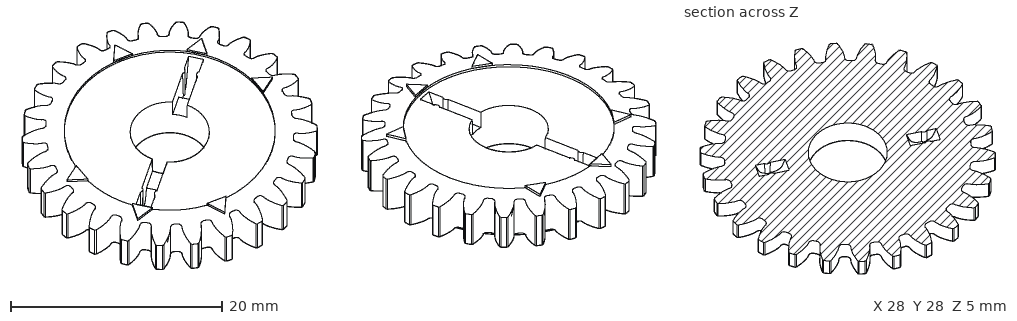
import cadquery as cq
import math

TOOTH_COUNT = 26
MODULE = 1.0
PRESSURE_ANGLE = math.radians(20)
FIRST_TOOTH_ANGLE = 87.23
ROOT_FILLET = 0.38 * MODULE
TIP_BREAK = 0.08
PITCH_ANGLE = 360 / TOOTH_COUNT
PITCH_RADIUS = MODULE * TOOTH_COUNT / 2
BASE_RADIUS = PITCH_RADIUS * math.cos(PRESSURE_ANGLE)
TIP_RADIUS = PITCH_RADIUS + MODULE
ROOT_RADIUS = PITCH_RADIUS - 1.25 * MODULE
FLANK_END_RADIUS = TIP_RADIUS - TIP_BREAK
FLANK_POINTS = 6

HUB_HEIGHT = 0.75
GEAR_WIDTH = 4.0
GEAR_TOP = HUB_HEIGHT + GEAR_WIDTH
PARTING_HEIGHT = HUB_HEIGHT + GEAR_WIDTH / 2
TIP_BEVEL_DROP = 0.5

HUB_RADIUS = 11.0
RECESS_RADIUS = 10.0
RECESS_DEPTH = 0.25
RECESS_FLOOR = GEAR_TOP - RECESS_DEPTH

DRAFT = 1.0
DRAFT_SLOPE = math.tan(math.radians(DRAFT))
BORE_TOP_RADIUS = 3.75
BORE_THROAT_RADIUS = BORE_TOP_RADIUS - (RECESS_FLOOR - PARTING_HEIGHT) * DRAFT_SLOPE
BORE_BOTTOM_RADIUS = BORE_THROAT_RADIUS + PARTING_HEIGHT * DRAFT_SLOPE

SLOT_WIDTH = 1.46
SLOT_END = 9.6
SLOT_FLOOR = PARTING_HEIGHT
POCKET_START = 5.88
POCKET_FLOOR = 1.15
POCKET_FLOOR_START = 7.16
POCKET_WALL_ANGLE = math.radians(20)
POCKET_OUTER_RADIUS = 0.95
POCKET_INNER_RADIUS = 0.99
NUB_RADIUS = 0.4
NUB_PROTRUSION = 0.15
NUB_POSITION = 7.7

MARK_SIDE = 2.0
MARK_HEIGHT = 0.25
MARK_TOOTH_STEP = 3


def polar(radius, angle):
    return (radius * math.cos(angle), radius * math.sin(angle))


def involute(radius):
    """Polar angle swept by the involute from its base circle at the given radius."""
    pressure = math.acos(BASE_RADIUS / radius)
    return math.tan(pressure) - pressure


def tooth_half_angle(radius):
    pitch_half_angle = math.pi / (2 * TOOTH_COUNT)
    return pitch_half_angle + involute(PITCH_RADIUS) - involute(radius)


def make_tooth():
    """One tooth on the +X axis, with flared fillets running into the root circle."""
    step = (FLANK_END_RADIUS - BASE_RADIUS) / (FLANK_POINTS - 1)
    radii = [BASE_RADIUS + step * index for index in range(FLANK_POINTS)]
    lower = [polar(r, -tooth_half_angle(r)) for r in radii]
    upper = [(x, -y) for x, y in reversed(lower)]

    tip_half = tooth_half_angle(TIP_RADIUS) - TIP_BREAK / TIP_RADIUS
    tip_corner = polar(TIP_RADIUS, tip_half)

    base_half = tooth_half_angle(BASE_RADIUS)
    centre_radius = ROOT_RADIUS + ROOT_FILLET
    centre_half = base_half + math.asin(ROOT_FILLET / centre_radius)
    flank_radius = math.sqrt(centre_radius**2 - ROOT_FILLET**2)
    centre = polar(centre_radius, centre_half)
    on_flank = polar(flank_radius, base_half)
    on_root = polar(ROOT_RADIUS, centre_half)
    toward = (on_flank[0] + on_root[0] - 2 * centre[0], on_flank[1] + on_root[1] - 2 * centre[1])
    reach = ROOT_FILLET / math.hypot(*toward)
    middle = (centre[0] + toward[0] * reach, centre[1] + toward[1] * reach)

    def mirrored(point):
        return (point[0], -point[1])

    return (
        cq.Workplane("XY", origin=(0, 0, HUB_HEIGHT))
        .moveTo(HUB_RADIUS, -on_root[1])
        .lineTo(*mirrored(on_root))
        .threePointArc(mirrored(middle), mirrored(on_flank))
        .lineTo(*lower[0])
        .spline(lower[1:], includeCurrent=True)
        .lineTo(*mirrored(tip_corner))
        .threePointArc((TIP_RADIUS, 0), tip_corner)
        .lineTo(*upper[0])
        .spline(upper[1:], includeCurrent=True)
        .lineTo(*on_flank)
        .threePointArc(middle, on_root)
        .lineTo(HUB_RADIUS, on_root[1])
        .close()
        .extrude(GEAR_WIDTH)
    )


def make_gear():
    """Root cylinder with all teeth, trimmed by a cone so the tooth tops fall outward."""
    gear = cq.Workplane("XY", origin=(0, 0, HUB_HEIGHT)).circle(ROOT_RADIUS).extrude(GEAR_WIDTH)
    tooth = make_tooth()
    for index in range(TOOTH_COUNT):
        angle = FIRST_TOOTH_ANGLE + index * PITCH_ANGLE
        gear = gear.union(tooth.rotate((0, 0, 0), (0, 0, 1), angle))
    envelope = (
        cq.Workplane("XZ")
        .polyline([
            (0, 0),
            (TIP_RADIUS, 0),
            (TIP_RADIUS, GEAR_TOP - TIP_BEVEL_DROP),
            (ROOT_RADIUS, GEAR_TOP),
            (0, GEAR_TOP),
        ])
        .close()
        .revolve(360, (0, 0), (0, 1))
    )
    return gear.intersect(envelope)


def make_bore():
    return (
        cq.Workplane("XZ")
        .polyline([
            (0, 0),
            (BORE_BOTTOM_RADIUS, 0),
            (BORE_THROAT_RADIUS, PARTING_HEIGHT),
            (BORE_TOP_RADIUS, RECESS_FLOOR),
            (0, RECESS_FLOOR),
        ])
        .close()
        .revolve(360, (0, 0), (0, 1))
    )


def arc_point(start, radius, turn):
    """Point on an upward-curving arc that leaves the pocket floor at start, after the given turn."""
    return (start + radius * math.sin(turn), POCKET_FLOOR + radius * (1 - math.cos(turn)))


def make_slot():
    """Cutter for the slot on the +Y side: a side profile narrowed by drafted walls and nubs."""
    wall_foot = SLOT_END - (RECESS_FLOOR - POCKET_FLOOR) * math.tan(POCKET_WALL_ANGLE)
    wall_turn = math.pi / 2 - POCKET_WALL_ANGLE
    floor_end = wall_foot - POCKET_OUTER_RADIUS * math.tan(wall_turn / 2)

    def on_outer_curve(turn):
        return arc_point(floor_end, POCKET_OUTER_RADIUS, turn)

    def on_inner_curve(turn):
        return arc_point(POCKET_FLOOR_START, POCKET_INNER_RADIUS, -turn)

    profile = (
        cq.Workplane("YZ", origin=(-SLOT_WIDTH / 2, 0, 0))
        .moveTo(0, RECESS_FLOOR)
        .lineTo(0, SLOT_FLOOR)
        .lineTo(POCKET_START, SLOT_FLOOR)
        .lineTo(*on_inner_curve(wall_turn))
        .threePointArc(on_inner_curve(wall_turn / 2), on_inner_curve(0))
        .lineTo(*on_outer_curve(0))
        .threePointArc(on_outer_curve(wall_turn / 2), on_outer_curve(wall_turn))
        .lineTo(SLOT_END, RECESS_FLOOR)
        .close()
        .extrude(SLOT_WIDTH)
    )
    half_top = SLOT_WIDTH / 2
    half_bottom = half_top - RECESS_FLOOR * DRAFT_SLOPE
    walls = (
        cq.Workplane("XZ")
        .polyline([
            (-half_bottom, 0),
            (half_bottom, 0),
            (half_top, RECESS_FLOOR),
            (-half_top, RECESS_FLOOR),
        ])
        .close()
        .extrude(-SLOT_END)
    )
    nub_offset = half_top + NUB_RADIUS - NUB_PROTRUSION
    nubs = (
        cq.Workplane("XY")
        .pushPoints([(-nub_offset, NUB_POSITION), (nub_offset, NUB_POSITION)])
        .circle(NUB_RADIUS)
        .extrude(RECESS_FLOOR)
    )
    return profile.intersect(walls).cut(nubs)


def make_mark():
    """Equilateral triangle on the rim at +X, pointing outward from the recess edge."""
    half_side = MARK_SIDE / 2
    base = math.sqrt(RECESS_RADIUS**2 - half_side**2)
    tip = base + MARK_SIDE * math.sin(math.radians(60))
    return (
        cq.Workplane("XY", origin=(0, 0, GEAR_TOP))
        .polyline([(base, -half_side), (tip, 0), (base, half_side)])
        .close()
        .extrude(MARK_HEIGHT)
    )


def make_part():
    hub = cq.Workplane("XY").circle(HUB_RADIUS).extrude(HUB_HEIGHT)
    recess = cq.Workplane("XY", origin=(0, 0, RECESS_FLOOR)).circle(RECESS_RADIUS).extrude(RECESS_DEPTH)
    part = make_gear().union(hub).cut(recess).cut(make_bore())
    slot = make_slot()
    mark = make_mark()
    for side in (0, 1):
        part = part.cut(slot.rotate((0, 0, 0), (0, 0, 1), 180 * side))
        for step in (-MARK_TOOTH_STEP, 0, MARK_TOOTH_STEP):
            angle = 90 + 180 * side + step * PITCH_ANGLE
            part = part.union(mark.rotate((0, 0, 0), (0, 0, 1), angle))
    return part


result = make_part()